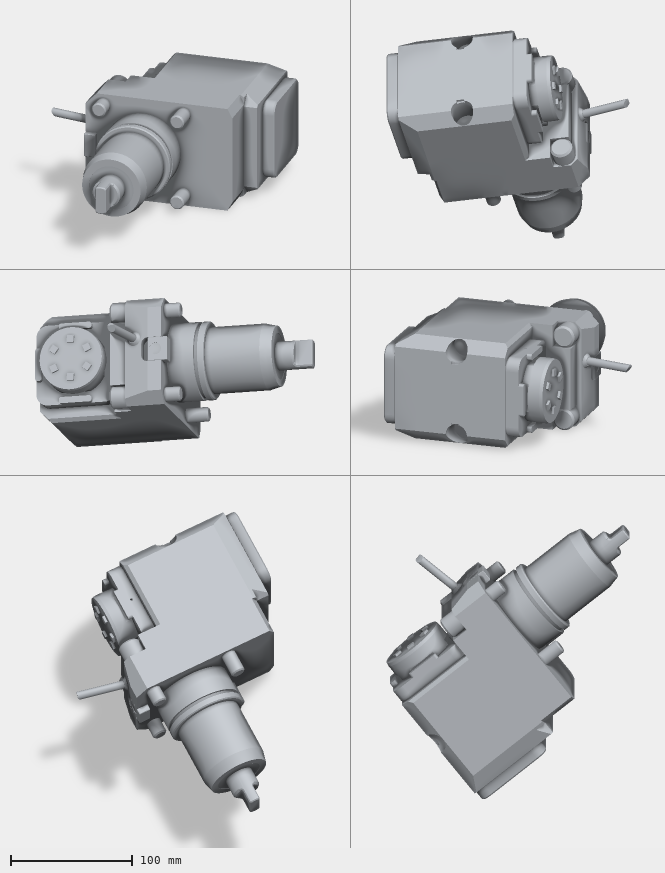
import cadquery as cq
import math


height = 90.0
half_height = height / 2
back_y = 114.0
base_left_x = -49.7
base_right_x = 76.5
base_depth = 31.8
shoulder_left_x = -41.0
shoulder_depth = 45.8
block_left_x = -7.8
block_right_x = 87.7
corner_chamfer = 9.7
block_left_chamfer = 3.0
slope_start_y = 11.5
slope_angle = 12.0
right_bevel_height = 7.8
block_bevel_length = 14.0
base_bevel_length = 4.1

bolt_x = 34.5
bolt_spacing_z = 71.2
bolt_z = bolt_spacing_z / 2
bolt_shank_diameter = 12.0
bolt_head_diameter = 18.5
bolt_head_height = 14.0
bolt_tip_y = -13.0
bolt_sink = 5.8
bolt_tip_chamfer = 1.2
bolt_head_chamfer = 1.5
head_pocket_right_x = -bolt_x + bolt_head_diameter / 2
head_pocket_z = bolt_z - bolt_head_diameter / 2

rear_hole_floor_y = 92.1
notch_x = 35.7
notch_width = 6.5
notch_length = 2.3
notch_depth = 1.2

collar_diameter = 65.0
seat_diameter = 64.5
seat_end_y = -1.8
groove_diameter = 60.5
groove_start_y = -22.5
groove_end_y = -25.8
collar_end_y = -31.0
collar_chamfer = 1.0
body_diameter = 55.0
taper_start_y = -77.4
body_end_y = -87.0
body_end_diameter = 50.2
end_recess_diameter = 38.2
end_recess_depth = 0.5
drive_diameter = 23.7
tang_start_y = -102.0
tang_end_y = -116.3
tang_thickness = 9.2
tang_root_radius = 2.0
drive_chamfer = 1.5
tang_chamfer = 1.0

flange_y = 80.0
flange_size = 67.7
flange_corner = 9.7
gasket_thickness = 1.0
gasket_inset = 0.7
left_flange_face_x = -19.5
right_flange_face_x = 97.9
right_flange_chamfer = 1.2
edge_key_length = 27.6
edge_key_width = 5.3
edge_key_height = 4.1
edge_key_radius = 2.0
oil_hole_x = -14.0
oil_hole_diameter = 2.0
oil_hole_depth = 3.5

cover_diameter = 54.0
cover_flat_size = 48.1
cover_flat_end_x = -24.9
cover_face_x = -37.5
cover_face_diameter = 52.7
cover_rim_width = 2.8
stud_count = 6
stud_circle_radius = 16.1
stud_size = 5.8
stud_height = 2.0
stud_twist = 6.0

key_width = 20.0
key_depth = 10.0
key_front_y = -5.0
key_slot_end_y = 17.3
key_slot_corner = 5.5
key_chamfer = 0.5
key_screw_y = 5.0
key_screw_diameter = 10.0
key_screw_recess = 0.5

pipe_root_y = 24.0
pipe_z = 10.1
pipe_diameter = 7.0
pipe_length = 42.0
pipe_end_bevel = 3.5
pipe_bevel_start_z = 1.5
nipple_diameter = 12.0
nipple_tip_diameter = 8.0
nipple_length = 2.3


def box(x0, x1, y0, y1, z0, z1):
    """Box between two opposite corners."""
    return cq.Workplane("XY").box(x1 - x0, y1 - y0, z1 - z0, centered=False).translate((x0, y0, z0))


def y_cylinder(diameter, y0, y1, x=0.0, z=0.0):
    """Cylinder parallel to Y from y0 up to y1."""
    return cq.Workplane(cq.Solid.makeCylinder(diameter / 2, y1 - y0, cq.Vector(x, y0, z), cq.Vector(0, 1, 0)))


def x_cylinder(diameter, x0, x1, y, z=0.0):
    """Cylinder parallel to X from x0 up to x1."""
    return cq.Workplane(cq.Solid.makeCylinder(diameter / 2, x1 - x0, cq.Vector(x0, y, z), cq.Vector(1, 0, 0)))


def y_prism(points, y0, y1):
    """Prism with an (x, z) outline, from y0 up to y1."""
    return cq.Workplane("XZ", origin=(0, y0, 0)).polyline(points).close().extrude(y0 - y1)


def mirrored_outline(upper_points):
    """Closed outline from its upper half, listed left to right, and the reflection of that half in Z."""
    return upper_points + [(x, -z) for x, z in reversed(upper_points)]


def make_base():
    """Base plate with beveled ends and a sloped left face, and the narrower shoulder behind it."""
    plate = y_prism(mirrored_outline([
        (base_left_x, half_height - corner_chamfer),
        (base_left_x + corner_chamfer, half_height),
        (base_right_x - base_bevel_length, half_height),
        (base_right_x, half_height - right_bevel_height),
    ]), 0, base_depth)
    slope_run = base_depth - slope_start_y
    slope_rise = slope_run * math.tan(math.radians(slope_angle))
    wedge = (
        cq.Workplane("XY", origin=(0, 0, -half_height))
        .moveTo(base_left_x, slope_start_y)
        .lineTo(base_left_x + slope_rise, base_depth)
        .lineTo(base_left_x, base_depth)
        .close()
        .extrude(2 * half_height)
    )
    shoulder = box(shoulder_left_x, base_right_x, base_depth, shoulder_depth, -head_pocket_z, head_pocket_z)
    full_shoulder = box(
        head_pocket_right_x, block_left_x + block_left_chamfer,
        base_depth, shoulder_depth,
        -half_height, half_height,
    )
    return plate.cut(wedge).union(shoulder).union(full_shoulder)


def make_block():
    """Gear block behind the base: beveled in both the XZ and the YZ outline."""
    end_outline = y_prism(mirrored_outline([
        (block_left_x, half_height - block_left_chamfer),
        (block_left_x + block_left_chamfer, half_height),
        (block_right_x - block_bevel_length, half_height),
        (block_right_x, half_height - right_bevel_height),
    ]), base_depth, back_y)
    core = box(block_left_x, base_right_x, base_depth, back_y, -half_height, half_height)
    core = core.faces(">Y").edges("|X").chamfer(corner_chamfer)
    overhang = box(base_right_x, block_right_x, base_depth, back_y, -half_height, half_height)
    overhang = overhang.edges("|X").chamfer(corner_chamfer)
    return end_outline.intersect(core.union(overhang))


def make_bolt(x, z, tip_y):
    """Cap screw pointing along -Y."""
    seat_y = tip_y + base_depth - bolt_tip_y
    shank = y_cylinder(bolt_shank_diameter, tip_y, seat_y, x, z).faces("<Y").chamfer(bolt_tip_chamfer)
    head = y_cylinder(bolt_head_diameter, seat_y, seat_y + bolt_head_height, x, z)
    return shank.union(head.faces(">Y").chamfer(bolt_head_chamfer))


def make_shank():
    """Collar with its groove, tapered body and flattened drive tang."""
    stations = [
        (seat_diameter, 0),
        (seat_diameter, seat_end_y),
        (collar_diameter, seat_end_y),
        (collar_diameter, groove_start_y),
        (groove_diameter, groove_start_y),
        (groove_diameter, groove_end_y),
        (collar_diameter, groove_end_y),
        (collar_diameter, collar_end_y + collar_chamfer),
        (collar_diameter - 2 * collar_chamfer, collar_end_y),
        (body_diameter, collar_end_y),
        (body_diameter, taper_start_y),
        (body_end_diameter, body_end_y),
        (end_recess_diameter, body_end_y),
        (end_recess_diameter, body_end_y + end_recess_depth),
        (drive_diameter, body_end_y + end_recess_depth),
        (drive_diameter, tang_end_y),
    ]
    profile = [(diameter / 2, y) for diameter, y in stations]
    shank = cq.Workplane("XY").polyline([(0, 0)] + profile + [(0, tang_end_y)]).close().revolve(360)
    side_cut = make_tang_side_cut()
    shank = shank.cut(side_cut).cut(side_cut.mirror("YZ"))
    long_edges = cq.selectors.BoxSelector(
        (-drive_diameter, tang_end_y, -drive_diameter),
        (drive_diameter, tang_start_y - tang_root_radius, drive_diameter),
    )
    return shank.edges("|Y").edges(long_edges).chamfer(tang_chamfer).faces("<Y").chamfer(tang_chamfer)


def make_tang_side_cut():
    """Material removed beside the tang on +X: the flat with its root fillet and the shoulder chamfer."""
    half_thickness = tang_thickness / 2
    flat = box(half_thickness, drive_diameter, tang_end_y, tang_start_y, -drive_diameter, drive_diameter)
    flat = flat.edges("<X and >Y").fillet(tang_root_radius)
    shoulder_edge_y = tang_start_y + drive_chamfer
    shoulder_side = box(
        half_thickness + tang_root_radius, drive_diameter,
        tang_start_y, shoulder_edge_y,
        -drive_diameter, drive_diameter,
    )
    shoulder_cone = cq.Workplane(cq.Solid.makeCone(
        drive_diameter / 2 - drive_chamfer, drive_diameter / 2, drive_chamfer,
        cq.Vector(0, tang_start_y, 0), cq.Vector(0, 1, 0),
    ))
    return flat.union(shoulder_side.cut(shoulder_cone))


def make_flange_plate(x0, x1, inset=0.0):
    """Square plate with rounded corners, from x0 to x1."""
    half = flange_size / 2 - inset
    plate = box(x0, x1, flange_y - half, flange_y + half, -half, half)
    return plate.edges("|X").fillet(flange_corner - inset)


def make_left_flange():
    """Left flange with four edge keys, an oil hole and the studded round cover."""
    gasket_x = block_left_x - gasket_thickness
    flange = make_flange_plate(gasket_x, block_left_x, gasket_inset)
    flange = flange.union(make_flange_plate(left_flange_face_x, gasket_x))
    edge_key = box(
        left_flange_face_x - edge_key_height, left_flange_face_x,
        flange_y - edge_key_length / 2, flange_y + edge_key_length / 2,
        flange_size / 2 - edge_key_width, flange_size / 2,
    ).edges("|X").fillet(edge_key_radius)
    for quarter in range(4):
        flange = flange.union(edge_key.rotate((0, flange_y, 0), (1, flange_y, 0), 90 * quarter))
    oil_hole = (
        cq.Workplane("XY", origin=(oil_hole_x, flange_y, flange_size / 2 - oil_hole_depth))
        .circle(oil_hole_diameter / 2)
        .extrude(oil_hole_depth)
    )
    return flange.cut(oil_hole).union(make_cover())


def make_cover():
    """Round cover with four clearance flats for the edge keys, a tapered rim and a ring of square studs."""
    half_flat = cover_flat_size / 2
    neck = x_cylinder(cover_diameter, cover_flat_end_x, left_flange_face_x, flange_y).intersect(box(
        cover_flat_end_x, left_flange_face_x,
        flange_y - half_flat, flange_y + half_flat,
        -half_flat, half_flat,
    ))
    rim_x = cover_face_x + cover_rim_width
    drum = x_cylinder(cover_diameter, rim_x, cover_flat_end_x, flange_y)
    rim = cq.Workplane(cq.Solid.makeCone(
        cover_face_diameter / 2, cover_diameter / 2, cover_rim_width,
        cq.Vector(cover_face_x, flange_y, 0), cq.Vector(1, 0, 0),
    ))
    cover = neck.union(drum).union(rim)
    stud = box(
        cover_face_x - stud_height, cover_face_x,
        flange_y - stud_size / 2, flange_y + stud_size / 2,
        stud_circle_radius - stud_size / 2, stud_circle_radius + stud_size / 2,
    ).rotate((0, flange_y, stud_circle_radius), (1, flange_y, stud_circle_radius), stud_twist)
    for index in range(stud_count):
        cover = cover.union(stud.rotate((0, flange_y, 0), (1, flange_y, 0), 360 / stud_count * index))
    return cover


def make_right_flange():
    """Plain flange on the right end of the gear block."""
    gasket_x = block_right_x + gasket_thickness
    gasket = make_flange_plate(block_right_x, gasket_x, gasket_inset)
    plate = make_flange_plate(gasket_x, right_flange_face_x).faces(">X").chamfer(right_flange_chamfer)
    return gasket.union(plate)


def make_rear_hole(side):
    """Blind hole in the back face in line with a right-hand bolt, with a notch in its wall."""
    hole = y_cylinder(bolt_head_diameter, rear_hole_floor_y, back_y, bolt_x, side * bolt_z)
    notch = box(
        notch_x - notch_width / 2, notch_x + notch_width / 2,
        back_y - notch_length, back_y,
        head_pocket_z - notch_depth, bolt_z,
    )
    if side < 0:
        notch = notch.mirror("XY")
    return hole.union(notch)


def make_key_slot():
    """Slot in the left face that holds the locating key."""
    slot = box(base_left_x, base_left_x + key_depth, 0, key_slot_end_y, -key_width / 2, key_width / 2)
    return slot.edges("|X and >Y").fillet(key_slot_corner)


def make_key():
    """Locating key, with the recess of its screw."""
    key = box(base_left_x, base_left_x + key_depth, key_front_y, slope_start_y, -key_width / 2, key_width / 2)
    key = key.faces("<X or <Y").edges().chamfer(key_chamfer)
    return key.cut(x_cylinder(key_screw_diameter, base_left_x, base_left_x + key_screw_recess, key_screw_y))


def make_pipe():
    """Coolant pipe square to the sloped face, with a conical nipple and an obliquely cut end."""
    root_x = base_left_x + (pipe_root_y - slope_start_y) * math.tan(math.radians(slope_angle))
    nipple = (
        cq.Workplane("YZ")
        .circle(nipple_diameter / 2)
        .workplane(offset=-nipple_length)
        .circle(nipple_tip_diameter / 2)
        .loft()
    )
    tail = x_cylinder(pipe_diameter, -pipe_length, nipple_length, 0)
    end_cut = (
        cq.Workplane("XZ", origin=(0, pipe_diameter, 0))
        .moveTo(-pipe_length, pipe_bevel_start_z)
        .lineTo(-pipe_length + pipe_end_bevel, -pipe_diameter / 2)
        .lineTo(-pipe_length, -pipe_diameter / 2)
        .close()
        .extrude(2 * pipe_diameter)
    )
    pipe = nipple.union(tail).cut(end_cut)
    return pipe.rotate((0, 0, 0), (0, 0, 1), -slope_angle).translate((root_x, pipe_root_y, pipe_z))


result = make_base().union(make_block())
for side in (-1, 1):
    result = result.cut(make_rear_hole(side))
result = result.cut(make_key_slot()).union(make_key())
for side in (-1, 1):
    result = result.union(make_bolt(-bolt_x, side * bolt_z, bolt_tip_y))
    result = result.union(make_bolt(bolt_x, side * bolt_z, bolt_tip_y - bolt_sink))
result = result.union(make_shank())
result = result.union(make_left_flange())
result = result.union(make_right_flange())
result = result.union(make_pipe())